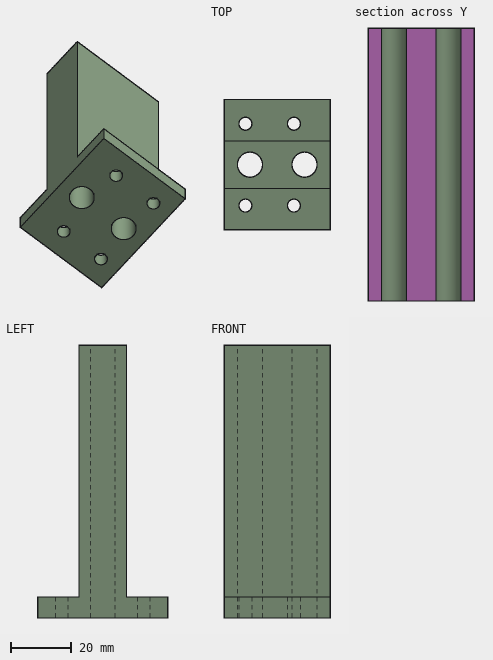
import cadquery as cq

length = 35.0
base_width = 43.0
base_thickness = 7.0

total_height = 90.0
upright_thickness = 15.7

bore_diameter = 8.2
bore_spacing = 18.0

mount_diameter = 4.2
mount_end_offset = 7.0
mount_spacing_x = 16.0
mount_spacing_y = 27.0
mount_center_x = -length / 2 + mount_end_offset + mount_spacing_x / 2


def make_body():
    """Inverted T: a flat base with a tall upright along its middle."""
    base = cq.Workplane("XY").box(length, base_width, base_thickness, centered=(True, True, False))
    upright = cq.Workplane("XY").box(length, upright_thickness, total_height, centered=(True, True, False))
    return base.union(upright)


def make_bores():
    """Pair of full-height bores on the centre plane of the upright."""
    return (
        cq.Workplane("XY")
        .rarray(bore_spacing, 1, 2, 1)
        .circle(bore_diameter / 2)
        .extrude(total_height)
    )


def make_mount_holes():
    """Rectangular pattern of through holes, two in each flange."""
    return (
        cq.Workplane("XY")
        .center(mount_center_x, 0)
        .rarray(mount_spacing_x, mount_spacing_y, 2, 2)
        .circle(mount_diameter / 2)
        .extrude(base_thickness)
    )


result = make_body().cut(make_bores()).cut(make_mount_holes())